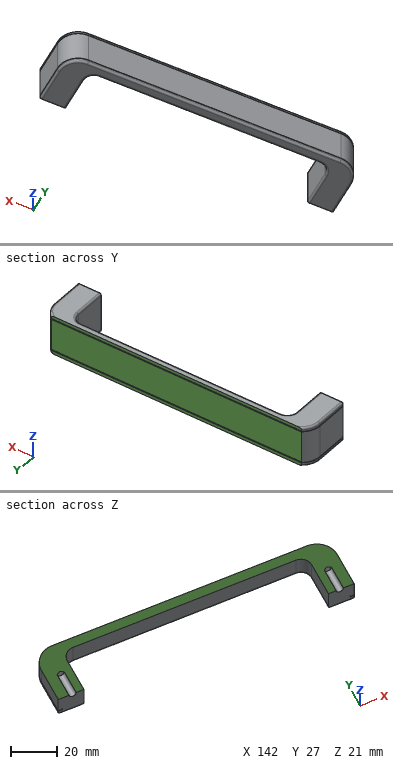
import cadquery as cq
import math

length = 142.0
depth = 27.0
height = 21.0

leg_width = 12.5
bar_thickness = 5.0
outer_radius = 10.0
inner_radius = 5.1
edge_fillet = 1.0

hole_spacing = 128.1
hole_diameter = 3.3
hole_depth = 12.0
drill_tip_angle = 118

groove_width = 0.2
groove_depth = 2.0
groove_offset = 8.5


def bow_block(span, reach, corner_radius, thickness):
    """Block from the leg ends (Y = 0) to reach, with two rounded back corners."""
    block = cq.Workplane("XY").box(span, reach, thickness, centered=(True, False, True))
    return block.edges("|Z and >Y").fillet(corner_radius)


def make_bow():
    outside = bow_block(length, depth, outer_radius, height)
    opening = bow_block(length - 2 * leg_width, depth - bar_thickness, inner_radius, height)
    bow = outside.cut(opening)
    return bow.faces("<Z or >Z").edges("not <Y").fillet(edge_fillet)


def make_screw_holes():
    """Drilled holes with conical bottoms, entering from the leg ends."""
    radius = hole_diameter / 2
    tip_length = radius / math.tan(math.radians(drill_tip_angle / 2))
    inward = cq.Vector(0, 1, 0)
    barrel = cq.Solid.makeCylinder(radius, hole_depth, dir=inward)
    tip = cq.Solid.makeCone(radius, 0, tip_length, pnt=cq.Vector(0, hole_depth, 0), dir=inward)
    hole = cq.Workplane(obj=barrel).union(cq.Workplane(obj=tip))
    left = hole.translate((-hole_spacing / 2, 0, 0))
    right = hole.translate((hole_spacing / 2, 0, 0))
    return left.union(right)


def make_groove():
    """Thin band that removes the outer skin of the bow to the groove depth."""
    outside = bow_block(length, depth, outer_radius, groove_width)
    core = bow_block(
        length - 2 * groove_depth,
        depth - groove_depth,
        outer_radius - groove_depth,
        groove_width,
    )
    return outside.cut(core)


result = make_bow().cut(make_screw_holes())
for side in (-1, 1):
    result = result.cut(make_groove().translate((0, 0, side * groove_offset)))